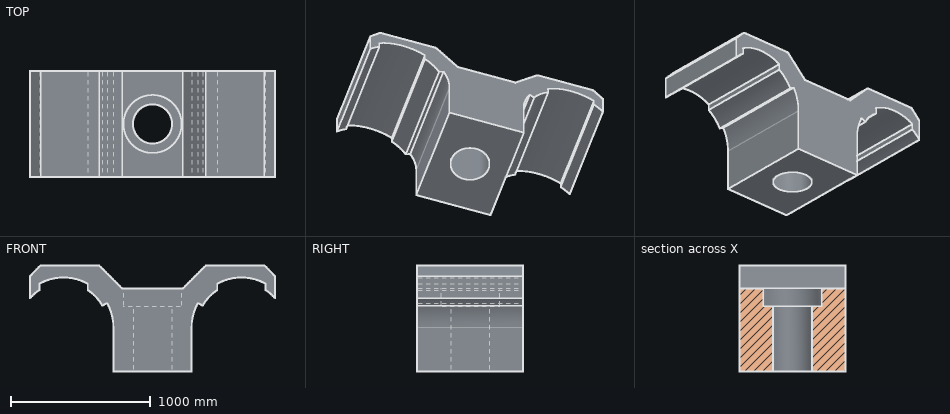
import cadquery as cq
import math

length = 1755.0
depth = 762.0
height = 762.0

end_chamfer_width = 75.0
end_chamfer_height = 77.0
recess_floor_width = 435.0
recess_depth = 165.0
recess_top_width = recess_floor_width + 2 * recess_depth

post_width = 561.0
saddle_offset = 637.0
saddle_center_z = 318.0
saddle_radius = 318.0
relief_radius = saddle_offset - post_width / 2
relief_slot_width = 344.0
notch_angle = math.radians(29)

hole_diameter = 279.0
counterbore_diameter = 415.0
counterbore_depth = 128.0


def extrude_centered(profile):
    """Extrude an XZ profile through the full depth, centred on Y = 0."""
    return profile.extrude(depth).translate((0, depth / 2, 0))


def saddle_cylinder(side, radius):
    """Full-depth cylinder on the saddle axis of one side (-1 left, 1 right)."""
    return extrude_centered(
        cq.Workplane("XZ").center(side * saddle_offset, saddle_center_z).circle(radius)
    )


def block_between(x_start, x_end, z_start, z_end):
    """Full-depth block bounded by two X and two Z positions."""
    return extrude_centered(
        cq.Workplane("XZ")
        .moveTo(x_start, z_start)
        .lineTo(x_end, z_start)
        .lineTo(x_end, z_end)
        .lineTo(x_start, z_end)
        .close()
    )


def make_blank():
    """Block with chamfered ends and a sloped-sided recess along the top."""
    recess_floor_z = height - recess_depth
    return extrude_centered(
        cq.Workplane("XZ")
        .moveTo(-length / 2, 0)
        .lineTo(length / 2, 0)
        .lineTo(length / 2, height - end_chamfer_height)
        .lineTo(length / 2 - end_chamfer_width, height)
        .lineTo(recess_top_width / 2, height)
        .lineTo(recess_floor_width / 2, recess_floor_z)
        .lineTo(-recess_floor_width / 2, recess_floor_z)
        .lineTo(-recess_top_width / 2, height)
        .lineTo(-length / 2 + end_chamfer_width, height)
        .lineTo(-length / 2, height - end_chamfer_height)
        .close()
    )


def make_relief(side):
    """Parts of the larger saddle circle: a top slot and a sector beside the post."""
    slot = block_between(
        side * saddle_offset - relief_slot_width / 2,
        side * saddle_offset + relief_slot_width / 2,
        saddle_center_z,
        saddle_center_z + relief_radius,
    )
    wedge_run = 2 * relief_radius
    wedge = extrude_centered(
        cq.Workplane("XZ")
        .moveTo(side * saddle_offset, saddle_center_z)
        .lineTo(side * (saddle_offset - wedge_run), saddle_center_z)
        .lineTo(
            side * (saddle_offset - wedge_run),
            saddle_center_z + wedge_run * math.tan(notch_angle),
        )
        .close()
    )
    return saddle_cylinder(side, relief_radius).intersect(slot.union(wedge))


def make_side_opening(side):
    """Space below the saddle, between the post wall and the end of the part."""
    return block_between(side * post_width / 2, side * length / 2, 0, saddle_center_z)


result = make_blank()
for side in (-1, 1):
    result = result.cut(make_side_opening(side))
    result = result.cut(saddle_cylinder(side, saddle_radius))
    result = result.cut(make_relief(side))

result = (
    result.copyWorkplane(cq.Workplane("XY", origin=(0, 0, height - recess_depth)))
    .pushPoints([(0, 0)])
    .cboreHole(hole_diameter, counterbore_diameter, counterbore_depth)
)